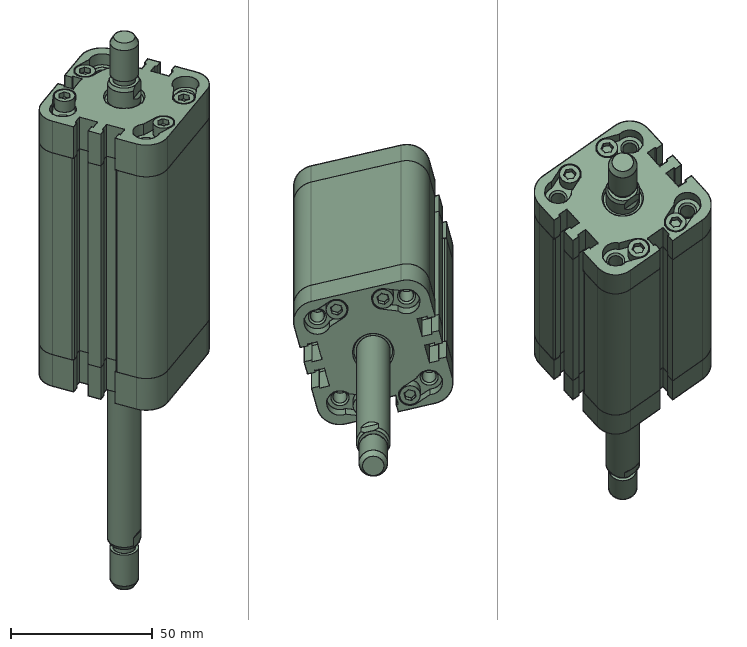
import cadquery as cq
import math


ROD_LENGTH = 235.0
BODY_WIDTH = 49.0
CORNER_RADIUS = 8.2
BODY_BOTTOM = 95.5
BODY_HEIGHT = 114.0
CAP_HEIGHT = 13.6
BODY_TOP = BODY_BOTTOM + BODY_HEIGHT
BARREL_HEIGHT = BODY_HEIGHT - 2 * CAP_HEIGHT

GROOVE_SPACING = 10.5
GROOVE_OFFSET = GROOVE_SPACING / 2
GROOVE_MOUTH_WIDTH = 5.6
GROOVE_INNER_WIDTH = 7.0
GROOVE_LIP = 2.8
GROOVE_DEPTH = 6.3
GROOVE_CHAMFER = 0.7

ROD_DIAMETER = 12.0
THREAD_DIAMETER = 10.0
TIP_DIAMETER = 7.5
UNDERCUT_DIAMETER = 8.0
TIP_CHAMFER_LENGTH = 2.4
THREAD_END = 15.7
SHOULDER = 18.3
SHOULDER_CHAMFER_RADIAL = 0.7
SHOULDER_CHAMFER_LENGTH = 1.5
WRENCH_FLATS = 10.0
FLAT_END = 23.0
FLAT_RUNOUT = 1.2

MOUTH_DIAMETER = 14.5
MOUTH_THROAT_DIAMETER = 13.6
MOUTH_DEPTH = 1.2
MOUNT_OFFSET = 16.2
MOUNT_POCKET_DIAMETER = 9.5
MOUNT_HOLE_DIAMETER = 5.0
MOUNT_CHAMFER_DIAMETER = 6.3
SCREW_X = 19.3
SCREW_Y = 8.5
SCREW_POCKET_DIAMETER = 8.0
SCREW_HEAD_DIAMETER = 7.3
POCKET_DEPTH = 4.7
SOCKET_FLATS = 3.8
SOCKET_DEPTH = 2.0


def groove(height):
    """Undercut groove cutter at the +Y face, centred on X = 0, rising from Z = 0."""
    face = BODY_WIDTH / 2
    inner_depth = GROOVE_DEPTH - GROOVE_LIP
    centered = (True, False, False)
    mouth = cq.Workplane("XY").box(GROOVE_MOUTH_WIDTH, GROOVE_DEPTH, height, centered=centered)
    inner = cq.Workplane("XY").box(GROOVE_INNER_WIDTH, inner_depth, height, centered=centered)
    return mouth.union(inner).translate((0, face - GROOVE_DEPTH, 0))


def grooved_block(height):
    """Square block with rounded corners, bored for the rod and grooved on three sides."""
    block = cq.Workplane("XY").rect(BODY_WIDTH, BODY_WIDTH).extrude(height)
    block = block.edges("|Z").fillet(CORNER_RADIUS)
    block = block.cut(cq.Workplane("XY").circle(ROD_DIAMETER / 2).extrude(height))
    cutter = groove(height)
    for side_angle in (0, 180):
        for offset in (-GROOVE_OFFSET, GROOVE_OFFSET):
            placed = cutter.translate((offset, 0, 0))
            block = block.cut(placed.rotate((0, 0, 0), (0, 0, 1), side_angle))
    return block.cut(cutter.rotate((0, 0, 0), (0, 0, 1), 90))


def make_barrel():
    """Middle section, with the outer lips of its front and back grooves chamfered."""
    barrel = grooved_block(BARREL_HEIGHT)
    outer_lip = GROOVE_OFFSET + GROOVE_MOUTH_WIDTH / 2
    face = BODY_WIDTH / 2
    for x_sign in (-1, 1):
        for y_sign in (-1, 1):
            lip = cq.Workplane("XY").polyline([
                (x_sign * outer_lip, y_sign * face),
                (x_sign * (outer_lip + GROOVE_CHAMFER), y_sign * face),
                (x_sign * outer_lip, y_sign * (face - GROOVE_CHAMFER)),
            ]).close().extrude(BARREL_HEIGHT)
            barrel = barrel.cut(lip)
    return barrel.translate((0, 0, BODY_BOTTOM + CAP_HEIGHT))


def cone(top_diameter, bottom_diameter, depth):
    """Cone whose wide end lies on the cap's outer face."""
    solid = cq.Solid.makeCone(bottom_diameter / 2, top_diameter / 2, depth)
    return cq.Workplane("XY").add(solid).translate((0, 0, CAP_HEIGHT - depth))


def disc(x, y, diameter, bottom, height):
    """Upright cylinder standing on the plane Z = bottom."""
    return cq.Workplane("XY", origin=(x, y, bottom)).circle(diameter / 2).extrude(height)


def pocket():
    """Round recess at the mounting hole, joined to the screw by a straight slot."""
    floor = CAP_HEIGHT - POCKET_DEPTH
    dx = SCREW_X - MOUNT_OFFSET
    dy = SCREW_Y - MOUNT_OFFSET
    middle = ((SCREW_X + MOUNT_OFFSET) / 2, (SCREW_Y + MOUNT_OFFSET) / 2, floor)
    slot_length = math.hypot(dx, dy) + SCREW_POCKET_DIAMETER
    slot_angle = math.degrees(math.atan2(dy, dx))
    slot = cq.Workplane("XY", origin=middle).slot2D(slot_length, SCREW_POCKET_DIAMETER, slot_angle)
    recess = disc(MOUNT_OFFSET, MOUNT_OFFSET, MOUNT_POCKET_DIAMETER, floor, POCKET_DEPTH)
    return recess.union(slot.extrude(POCKET_DEPTH))


def mount_hole():
    """Through hole with a chamfered mouth in the pocket floor."""
    hole = disc(MOUNT_OFFSET, MOUNT_OFFSET, MOUNT_HOLE_DIAMETER, 0, CAP_HEIGHT)
    chamfer_depth = (MOUNT_CHAMFER_DIAMETER - MOUNT_HOLE_DIAMETER) / 2
    chamfer = cone(MOUNT_CHAMFER_DIAMETER, MOUNT_HOLE_DIAMETER, chamfer_depth)
    return hole.union(chamfer.translate((MOUNT_OFFSET, MOUNT_OFFSET, -POCKET_DEPTH)))


def screw_head():
    """Round head with a hexagonal socket, flush with the cap's outer face."""
    head = disc(SCREW_X, SCREW_Y, SCREW_HEAD_DIAMETER, CAP_HEIGHT - POCKET_DEPTH, POCKET_DEPTH)
    socket_diameter = SOCKET_FLATS / math.cos(math.pi / 6)
    socket_floor = (SCREW_X, SCREW_Y, CAP_HEIGHT - SOCKET_DEPTH)
    socket = cq.Workplane("XY", origin=socket_floor).polygon(6, socket_diameter).extrude(SOCKET_DEPTH)
    return head.cut(socket)


def make_cap():
    """End cap with its inner face at Z = 0 and its outer face up."""
    cap = grooved_block(CAP_HEIGHT)
    cap = cap.cut(cone(MOUTH_DIAMETER, MOUTH_THROAT_DIAMETER, MOUTH_DEPTH))
    recess = pocket().union(mount_hole())
    head = screw_head()
    for normals in ((), ("YZ",), ("XZ",), ("YZ", "XZ")):
        corner_recess = recess
        corner_head = head
        for normal in normals:
            corner_recess = corner_recess.mirror(normal)
            corner_head = corner_head.mirror(normal)
        cap = cap.cut(corner_recess).union(corner_head)
    return cap


def make_rod():
    """Through rod, the same at both ends, with wrench flats facing -X and +X."""
    rod_radius = ROD_DIAMETER / 2
    half = [
        (0, 0),
        (TIP_DIAMETER / 2, 0),
        (THREAD_DIAMETER / 2, TIP_CHAMFER_LENGTH),
        (THREAD_DIAMETER / 2, THREAD_END),
        (UNDERCUT_DIAMETER / 2, THREAD_END),
        (UNDERCUT_DIAMETER / 2, SHOULDER),
        (rod_radius - SHOULDER_CHAMFER_RADIAL, SHOULDER),
        (rod_radius, SHOULDER + SHOULDER_CHAMFER_LENGTH),
    ]
    other_half = [(r, ROD_LENGTH - z) for r, z in reversed(half)]
    rod = cq.Workplane("XZ").polyline(half + other_half).close().revolve(360, (0, 0), (0, 1))

    flat = WRENCH_FLATS / 2
    lower_flat = cq.Workplane("XZ").polyline([
        (flat, SHOULDER),
        (flat, FLAT_END),
        (rod_radius, FLAT_END + FLAT_RUNOUT),
        (rod_radius, SHOULDER),
    ]).close().extrude(rod_radius, both=True)
    upper_flat = lower_flat.mirror("XY").translate((0, 0, ROD_LENGTH))
    for cutter in (lower_flat, upper_flat):
        rod = rod.cut(cutter).cut(cutter.mirror("YZ"))
    return rod


barrel = make_barrel()
cap = make_cap()
upper_cap = cap.translate((0, 0, BODY_TOP - CAP_HEIGHT))
lower_cap = cap.mirror("XY").translate((0, 0, BODY_BOTTOM + CAP_HEIGHT))
rod = make_rod()

result = cq.Compound.makeCompound([barrel.val(), upper_cap.val(), lower_cap.val(), rod.val()])